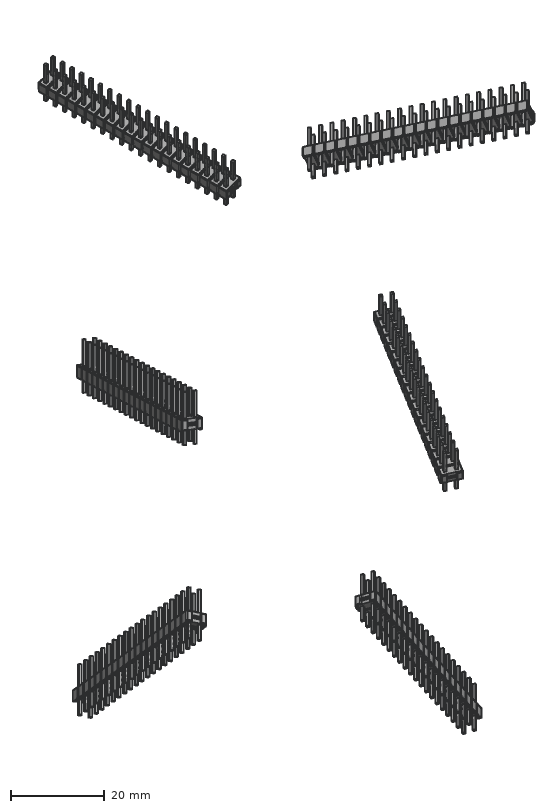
import cadquery as cq

positions = 20
length = 50.8
pitch = length / positions
depth = 5.0

pin_width = pitch / 4
pin_length = 11.8
row_spacing = pitch

foot_bottom = 3.2
foot_height = 0.3
channel_floor = foot_bottom + foot_height
body_top = 6.0
body_middle = (channel_floor + body_top) / 2

corner_chamfer = 0.25
front_chamfer = 0.15
bottom_chamfer = 0.5
foot_width = 0.45

pocket_depth = corner_chamfer
pocket_floor_width = 2.05
pocket_mouth_width = pocket_floor_width + 2 * pocket_depth
rib_width = 0.2


def make_cell():
    """One insulator cell centred on X = 0: the overlap of its three outlines."""
    half_pitch = pitch / 2
    half_depth = depth / 2

    front_outline = (
        cq.Workplane("XZ")
        .polyline([
            (-half_pitch + bottom_chamfer, foot_bottom),
            (half_pitch - bottom_chamfer, foot_bottom),
            (half_pitch, foot_bottom + bottom_chamfer),
            (half_pitch, body_top - corner_chamfer),
            (half_pitch - corner_chamfer, body_top),
            (-half_pitch + corner_chamfer, body_top),
            (-half_pitch, body_top - corner_chamfer),
            (-half_pitch, foot_bottom + bottom_chamfer),
        ])
        .close()
        .extrude(half_depth, both=True)
    )

    foot_inner = half_depth - foot_width
    side_outline = (
        cq.Workplane("YZ")
        .polyline([
            (-half_depth, foot_bottom),
            (-foot_inner, foot_bottom),
            (-foot_inner, channel_floor),
            (foot_inner, channel_floor),
            (foot_inner, foot_bottom),
            (half_depth, foot_bottom),
            (half_depth, body_top - front_chamfer),
            (half_depth - front_chamfer, body_top),
            (-half_depth + front_chamfer, body_top),
            (-half_depth, body_top - front_chamfer),
        ])
        .close()
        .extrude(half_pitch, both=True)
    )

    plan_outline = (
        cq.Workplane("XY")
        .rect(pitch, depth)
        .extrude(pin_length)
        .edges("|Z")
        .chamfer(corner_chamfer)
    )
    return front_outline.intersect(side_outline).intersect(plan_outline)


def make_end_pocket(side, direction):
    """Pocket in the end face at X = side * length / 2, open upwards (+1) or downwards (-1)."""
    mouth_edge = body_middle + direction * rib_width / 2
    floor_edge = mouth_edge + direction * pocket_depth
    open_edge = body_middle + direction * (body_top - channel_floor)
    mouth_centre = (mouth_edge + open_edge) / 2
    floor_centre = (floor_edge + open_edge) / 2
    return (
        cq.Workplane("YZ", origin=(side * length / 2, 0, 0))
        .center(0, mouth_centre)
        .rect(pocket_mouth_width, abs(open_edge - mouth_edge))
        .workplane(offset=-side * pocket_depth)
        .center(0, floor_centre - mouth_centre)
        .rect(pocket_floor_width, abs(open_edge - floor_edge))
        .loft(ruled=True)
    )


cell_centres = [(i - (positions - 1) / 2) * pitch for i in range(positions)]

cell = make_cell()
body = cell.translate((cell_centres[0], 0, 0))
for x in cell_centres[1:]:
    body = body.union(cell.translate((x, 0, 0)))

for side in (-1, 1):
    for direction in (-1, 1):
        body = body.cut(make_end_pocket(side, direction))

pins = (
    cq.Workplane("XY")
    .pushPoints([(x, y) for x in cell_centres for y in (-row_spacing / 2, row_spacing / 2)])
    .rect(pin_width, pin_width)
    .extrude(pin_length)
)

result = body.union(pins)